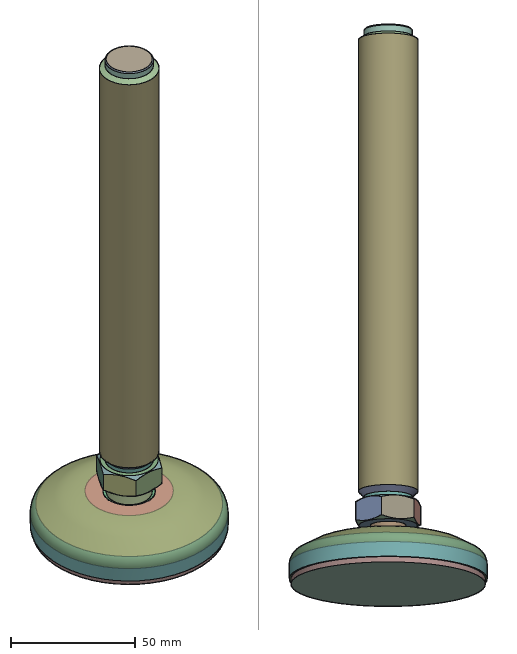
import cadquery as cq
import math

total_height = 229.2
pad_thickness = 2.2
foot_top_height = 19.0
collar_height = 22.4
hex_bottom_height = 24.3
hex_thickness = 10.0
hex_top_height = hex_bottom_height + hex_thickness

foot_diameter = 79.66
pad_diameter = 78.2
foot_flat_diameter = 35.5
dome_radius = 34.0
shoulder_radius = 5.4

collar_diameter = 18.0
socket_diameter = 21.0
socket_depth = 0.5
neck_diameter = 14.3

hex_sides = 6
hex_half_side_angle = 180.0 / hex_sides
hex_across_flats = 24.0
hex_chamfer_diameter = 23.4
hex_chamfer_angle = 30.0

stud_diameter = 24.0
stud_end_diameter = 19.5
stud_relief_length = 1.8
stud_tip_length = 3.0
stud_upper_chamfer = 1.4
tip_chamfer = 0.5


def point_on_arc(center, radius, angle):
    """Point on an arc, at an angle in radians above the radial direction."""
    return (center[0] + radius * math.cos(angle), center[1] + radius * math.sin(angle))


def make_foot():
    """Domed disc on a pad, with a round socket recess in its flat top."""
    flat_r = foot_flat_diameter / 2
    rim_r = foot_diameter / 2
    dome_center = (flat_r, foot_top_height - dome_radius)
    shoulder_center_r = rim_r - shoulder_radius
    join_angle = math.acos((shoulder_center_r - flat_r) / (dome_radius - shoulder_radius))
    shoulder_center = point_on_arc(dome_center, dome_radius - shoulder_radius, join_angle)
    join = point_on_arc(dome_center, dome_radius, join_angle)
    dome_mid = point_on_arc(dome_center, dome_radius, (join_angle + math.pi / 2) / 2)
    shoulder_mid = point_on_arc(shoulder_center, shoulder_radius, join_angle / 2)
    socket_r = socket_diameter / 2
    socket_floor = foot_top_height - socket_depth
    return (
        cq.Workplane("XZ")
        .lineTo(pad_diameter / 2, 0)
        .lineTo(pad_diameter / 2, pad_thickness)
        .lineTo(rim_r, pad_thickness)
        .lineTo(rim_r, shoulder_center[1])
        .threePointArc(shoulder_mid, join)
        .threePointArc(dome_mid, (flat_r, foot_top_height))
        .lineTo(socket_r, foot_top_height)
        .lineTo(socket_r, socket_floor)
        .lineTo(0, socket_floor)
        .close()
        .revolve(360, (0, 0), (0, 1))
    )


def make_neck():
    """Conical collar rising from the socket floor, then a plain neck up to the hexagon."""
    collar_r = collar_diameter / 2
    neck_r = neck_diameter / 2
    cone_slope = (collar_r - neck_r) / (collar_height - foot_top_height)
    socket_floor = foot_top_height - socket_depth
    return (
        cq.Workplane("XZ")
        .moveTo(0, socket_floor)
        .lineTo(collar_r + cone_slope * socket_depth, socket_floor)
        .lineTo(neck_r, collar_height)
        .lineTo(neck_r, hex_bottom_height)
        .lineTo(0, hex_bottom_height)
        .close()
        .revolve(360, (0, 0), (0, 1))
    )


def make_hexagon():
    """Hexagon with flats facing +X and -X, corners chamfered at both ends."""
    across_corners = hex_across_flats / math.cos(math.radians(hex_half_side_angle))
    prism = (
        cq.Workplane("XY")
        .workplane(offset=hex_bottom_height)
        .polygon(hex_sides, across_corners)
        .extrude(hex_thickness)
        .rotate((0, 0, 0), (0, 0, 1), hex_half_side_angle)
    )
    corner_r = across_corners / 2
    face_r = hex_chamfer_diameter / 2
    drop = (corner_r - face_r) * math.tan(math.radians(hex_chamfer_angle))
    envelope = (
        cq.Workplane("XZ")
        .moveTo(0, hex_bottom_height)
        .lineTo(face_r, hex_bottom_height)
        .lineTo(corner_r, hex_bottom_height + drop)
        .lineTo(corner_r, hex_top_height - drop)
        .lineTo(face_r, hex_top_height)
        .lineTo(0, hex_top_height)
        .close()
        .revolve(360, (0, 0), (0, 1))
    )
    return prism.intersect(envelope)


def make_stud():
    """Stud with a relief above the hexagon and a turned-down tip."""
    stud_r = stud_diameter / 2
    end_r = stud_end_diameter / 2
    relief_top = hex_top_height + stud_relief_length
    tip_bottom = total_height - stud_tip_length
    return (
        cq.Workplane("XZ")
        .moveTo(0, hex_top_height)
        .lineTo(end_r, hex_top_height)
        .lineTo(end_r, relief_top)
        .lineTo(stud_r, relief_top + stud_r - end_r)
        .lineTo(stud_r, tip_bottom - stud_upper_chamfer)
        .lineTo(end_r, tip_bottom)
        .lineTo(end_r, total_height - tip_chamfer)
        .lineTo(end_r - tip_chamfer, total_height)
        .lineTo(0, total_height)
        .close()
        .revolve(360, (0, 0), (0, 1))
    )


result = make_foot().union(make_neck()).union(make_hexagon()).union(make_stud())